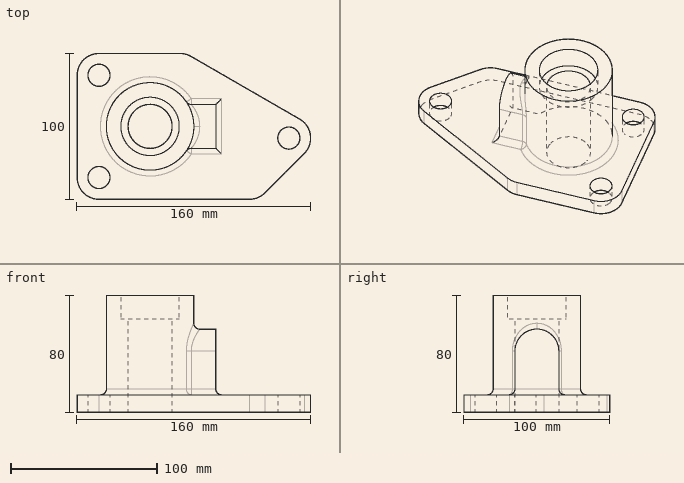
import cadquery as cq
import math


plate_thickness = 12.0
plate_width = 100.0
column_to_left_edge = 50.0
corner_radius = 15.0
bolt_hole_diameter = 15.0
nose_centre_to_left_edge = 145.0
nose_centre_to_front_edge = 42.0
rear_slope_angle = math.radians(30)
front_slope_angle = math.radians(45)

column_diameter = 60.0
column_top = 80.0
bore_diameter = 30.0
counterbore_diameter = 40.0
counterbore_depth = 16.0

boss_width = 30.0
boss_axis_height = 42.0
boss_reach = 45.0

fillet_radius = 4.0

left_x = corner_radius - column_to_left_edge
rear_y = plate_width / 2 - corner_radius
front_y = -rear_y
nose_x = nose_centre_to_left_edge - column_to_left_edge
nose_y = nose_centre_to_front_edge - plate_width / 2
rear_bend_x = nose_x - (rear_y - nose_y) / math.tan(rear_slope_angle)
front_bend_x = nose_x - (nose_y - front_y) / math.tan(front_slope_angle)
corner_centres = [
    (left_x, front_y),
    (front_bend_x, front_y),
    (nose_x, nose_y),
    (rear_bend_x, rear_y),
    (left_x, rear_y),
]
bolt_centres = [(left_x, front_y), (left_x, rear_y), (nose_x, nose_y)]


def make_plate():
    """Pentagon through the arc centres, grown outward with round corners."""
    return (
        cq.Workplane("XY")
        .polyline(corner_centres)
        .close()
        .offset2D(corner_radius, "arc")
        .extrude(plate_thickness)
    )


def make_column():
    return cq.Workplane("XY").circle(column_diameter / 2).extrude(column_top)


def make_boss():
    """Straight-sided block with a half-round top, running from the column axis along +X."""
    half_width = boss_width / 2
    return (
        cq.Workplane("YZ")
        .moveTo(-half_width, 0)
        .lineTo(-half_width, boss_axis_height)
        .threePointArc((0, boss_axis_height + half_width), (half_width, boss_axis_height))
        .lineTo(half_width, 0)
        .close()
        .extrude(boss_reach)
    )


def fillet_joints(body):
    """Round the inner corners between plate, column and boss."""
    margin = 1.0
    junction = cq.selectors.BoxSelector(
        (-column_diameter / 2 - margin, -column_diameter / 2 - margin, plate_thickness - margin),
        (boss_reach + margin, column_diameter / 2 + margin, plate_thickness + margin),
    )
    column_boss_seam = cq.selectors.BoxSelector(
        (column_diameter / 4, -boss_width / 2 - margin, plate_thickness + margin),
        (column_diameter / 2 + margin, boss_width / 2 + margin, column_top - margin),
    )
    return body.edges(junction + column_boss_seam).fillet(fillet_radius)


def cut_holes(body):
    body = (
        body.faces(">Z")
        .workplane(origin=(0, 0, column_top))
        .cboreHole(bore_diameter, counterbore_diameter, counterbore_depth)
    )
    bolt_holes = (
        cq.Workplane("XY")
        .pushPoints(bolt_centres)
        .circle(bolt_hole_diameter / 2)
        .extrude(plate_thickness)
    )
    return body.cut(bolt_holes)


blank = make_plate().union(make_column()).union(make_boss())
result = cut_holes(fillet_joints(blank))